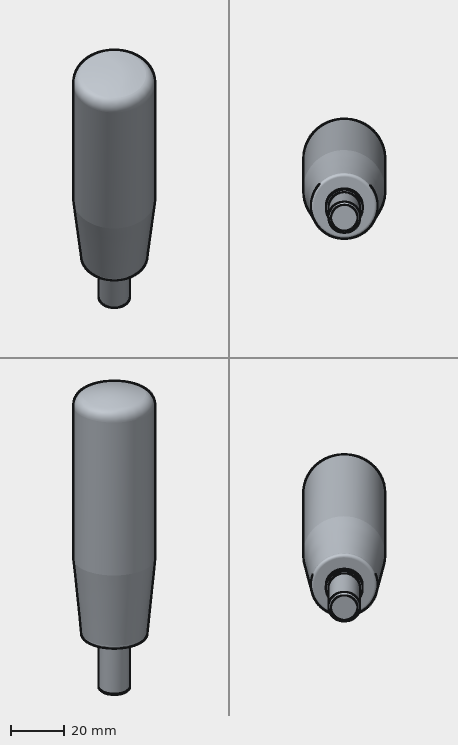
import cadquery as cq
import math

total_length = 124.5

stud_radius = 6.0
stud_length = 20.2
stud_chamfer = 1.0

collar_radius = 7.0
collar_length = 2.2

grip_diameter = 31.0
grip_radius = grip_diameter / 2
grip_base_radius = 12.6
base_round_height = 1.5
base_round_width = 1.2
taper_end_z = 54.7
shoulder_z = 118.4
crown_edge_radius = 12.1
crown_edge_z = 122.9

collar_top_z = stud_length + collar_length
taper_start_z = collar_top_z + base_round_height


def crown_midpoint():
    """Middle of the shallow spherical crown, from its rim to the top of the axis."""
    rise = total_length - crown_edge_z
    radius = (crown_edge_radius**2 + rise**2) / (2 * rise)
    half_angle = math.asin(crown_edge_radius / radius) / 2
    return (
        radius * math.sin(half_angle),
        total_length - radius * (1 - math.cos(half_angle)),
    )


profile = (
    cq.Workplane("XZ")
    .moveTo(0, 0)
    .lineTo(stud_radius - stud_chamfer, 0)
    .lineTo(stud_radius, stud_chamfer)
    .lineTo(stud_radius, stud_length)
    .lineTo(collar_radius, stud_length)
    .lineTo(collar_radius, collar_top_z)
    .lineTo(grip_base_radius - base_round_width, collar_top_z)
    .tangentArcPoint((grip_base_radius, taper_start_z), relative=False)
    .lineTo(grip_radius, taper_end_z)
    .lineTo(grip_radius, shoulder_z)
    .tangentArcPoint((crown_edge_radius, crown_edge_z), relative=False)
    .threePointArc(crown_midpoint(), (0, total_length))
    .close()
)

result = profile.revolve(360, (0, 0, 0), (0, 1, 0))